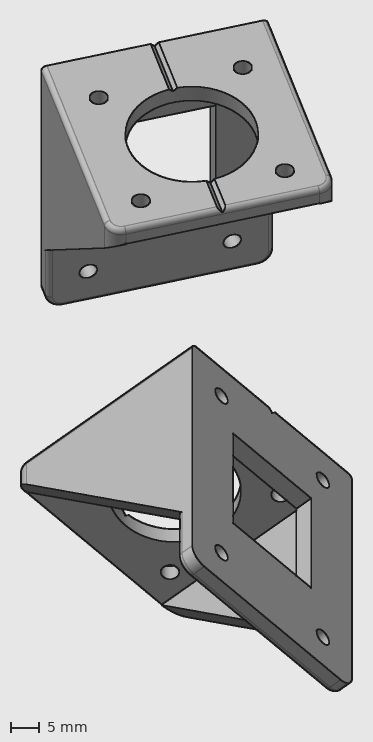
import cadquery as cq

depth = 42.0
width = 41.0
height = 57.0

plate = 3.5
wall = 3.0
corner_radius = 3.0
edge_radius = 1.0
tip_height = 3.6

hole_diameter = 3.2
hole_pitch = 26.0
top_center_x = 22.95
bore_diameter = 23.0

back_hole_pitch_z = 42.0
window_width = 20.0
window_height = 24.0
window_center_z = 30.05

groove_width = 1.5
groove_depth = groove_width / 2


def make_envelope():
    """Block with the rounded corners and top edges of the top plate."""
    block = cq.Workplane("XY").box(depth, width, height, centered=(False, True, False))
    block = block.edges("|Z and >X").fillet(corner_radius)
    return block.faces(">Z").edges("not <X").fillet(edge_radius)


def make_back_plate():
    """Upright plate with rounded lower corners and a softened inner rim."""
    back = cq.Workplane("XY").box(plate, width, height, centered=(False, True, False))
    back = back.edges("|X and <Z").fillet(corner_radius)
    return back.faces(">X").edges("not >Z").fillet(edge_radius)


def make_gusset(y_start):
    """Side wall with a 45 degree lower edge, starting at y_start."""
    slope_foot_z = height - tip_height - depth
    outline = [(0, height), (depth, height), (depth, height - tip_height), (0, slope_foot_z)]
    return (
        cq.Workplane("XZ", origin=(0, y_start, 0))
        .polyline(outline)
        .close()
        .extrude(-wall)
    )


def screw_holes(plane, pitch_v):
    """Four screw holes through one plate, at the corners of a rectangle."""
    return (
        plane.rect(hole_pitch, pitch_v, forConstruction=True)
        .vertices()
        .circle(hole_diameter / 2)
        .extrude(plate)
    )


body = cq.Workplane("XY", origin=(0, 0, height - plate)).box(
    depth, width, plate, centered=(False, True, False)
)
for y_start in (-width / 2, width / 2 - wall):
    body = body.union(make_gusset(y_start))
body = body.union(make_back_plate()).intersect(make_envelope())

top_plane = cq.Workplane("XY", origin=(top_center_x, 0, height - plate))
bore = top_plane.circle(bore_diameter / 2).extrude(plate)
top_holes = screw_holes(top_plane, hole_pitch)

window = (
    cq.Workplane("YZ", origin=(0, 0, window_center_z))
    .rect(window_width, window_height)
    .extrude(plate)
)
back_plane = cq.Workplane("YZ", origin=(0, 0, height / 2))
back_holes = screw_holes(back_plane, back_hole_pitch_z)

groove = (
    cq.Workplane("YZ")
    .polyline([(-groove_width / 2, height), (groove_width / 2, height), (0, height - groove_depth)])
    .close()
    .extrude(depth)
)

result = body.cut(bore).cut(top_holes).cut(window).cut(back_holes).cut(groove)